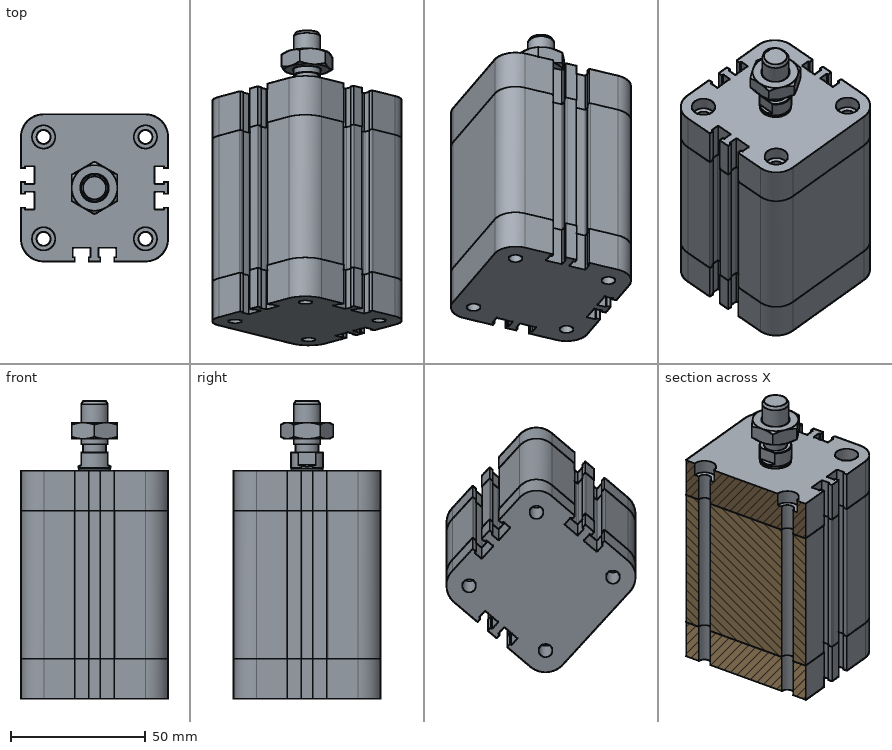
import cadquery as cq
import math

width = 55.0
corner_radius = 8.5
cap_length = 15.0
barrel_length = 55.1
total_height = 111.0
front_cap_bottom = cap_length + barrel_length
housing_height = front_cap_bottom + cap_length

screw_spacing = 38.0
screw_hole_diameter = 5.1
counterbore_diameter = 8.7
counterbore_depth = 5.0

slot_depth = 5.1
slot_lip = 1.7
slot_mouth_width = 5.1
slot_inner_width = 6.5
slot_center_offset = 4.8
barrel_slot_radius = 0.3
slotted_side_angles = (0, 90, -90)

rod_diameter = 11.8
head_diameter = 12.0
head_bottom = 0.8
head_taper_length = 0.3
head_top = 6.9
head_chamfer = 0.2
flats_width = 10.0
flats_bottom = 2.1
flats_runout_angle = math.radians(30)
neck_diameter = 8.7
thread_start = 9.8
thread_diameter = 10.0
tip_diameter = 8.5
tip_chamfer_length = 1.2

nut_width = 17.0
nut_height = 6.0
nut_bottom = housing_height + 11.9
nut_countersink = 0.3
nut_chamfer_angle = math.radians(30)


def mouth_rounding(length, radius):
    """Flared strip that rounds both edges of a slot mouth on the -Y side."""
    face_y = -width / 2
    wall_x = slot_mouth_width / 2
    arc_inset = radius * (1 - math.sqrt(0.5))
    arc_x = wall_x + arc_inset
    arc_y = face_y + arc_inset
    return (
        cq.Workplane("XY")
        .moveTo(wall_x + radius, face_y)
        .threePointArc((arc_x, arc_y), (wall_x, face_y + radius))
        .lineTo(-wall_x, face_y + radius)
        .threePointArc((-arc_x, arc_y), (-wall_x - radius, face_y))
        .close()
        .extrude(length)
    )


def slot_cutter(length, slot_radius):
    """One pair of T-slots on the -Y side, from Z = 0 up to `length`.

    A `slot_radius` above zero rounds the mouth edges and the floor corners.
    """
    face_y = -width / 2
    mouth = cq.Workplane("XY", origin=(0, face_y + slot_lip / 2, 0)).rect(slot_mouth_width, slot_lip)
    mouth = mouth.extrude(length)
    cavity_depth = slot_depth - slot_lip
    cavity = cq.Workplane("XY", origin=(0, face_y + slot_lip + cavity_depth / 2, 0))
    cavity = cavity.rect(slot_inner_width, cavity_depth).extrude(length)
    if slot_radius > 0:
        cavity = cavity.faces(">Y").edges("|Z").fillet(slot_radius)
        mouth = mouth.union(mouth_rounding(length, slot_radius))
    slot = mouth.union(cavity)
    left_slot = slot.translate((-slot_center_offset, 0, 0))
    right_slot = slot.translate((slot_center_offset, 0, 0))
    return left_slot.union(right_slot)


def make_housing_section(bottom, length, slot_radius=0.0):
    """A length of the slotted column with its four screw holes."""
    section = cq.Workplane("XY").rect(width, width).extrude(length)
    section = section.edges("|Z").fillet(corner_radius)
    cutter = slot_cutter(length, slot_radius)
    for angle in slotted_side_angles:
        section = section.cut(cutter.rotate((0, 0, 0), (0, 0, 1), angle))
    section = (
        section.faces(">Z").workplane(origin=(0, 0, 0))
        .rect(screw_spacing, screw_spacing, forConstruction=True).vertices()
        .hole(screw_hole_diameter)
    )
    return section.translate((0, 0, bottom))


def make_front_cap():
    """Front cap with counterbores and rod bore."""
    cap = make_housing_section(front_cap_bottom, cap_length)
    counterbores = (
        cq.Workplane("XY", origin=(0, 0, housing_height))
        .rect(screw_spacing, screw_spacing, forConstruction=True).vertices()
        .circle(counterbore_diameter / 2).extrude(-counterbore_depth)
    )
    rod_bore = (
        cq.Workplane("XY", origin=(0, 0, front_cap_bottom))
        .circle(rod_diameter / 2).extrude(cap_length)
    )
    return cap.cut(counterbores).cut(rod_bore)


def make_rod():
    """Stepped rod, turned about Z, with two wrench flats facing -X and +X and sloped run-outs."""
    head_bottom_z = housing_height + head_bottom
    head_top_z = housing_height + head_top
    thread_z = housing_height + thread_start
    rod = (
        cq.Workplane("XZ")
        .moveTo(0, front_cap_bottom)
        .lineTo(rod_diameter / 2, front_cap_bottom)
        .lineTo(rod_diameter / 2, head_bottom_z)
        .lineTo(head_diameter / 2, head_bottom_z + head_taper_length)
        .lineTo(head_diameter / 2, head_top_z - head_chamfer)
        .lineTo(head_diameter / 2 - head_chamfer, head_top_z)
        .lineTo(neck_diameter / 2, head_top_z)
        .lineTo(neck_diameter / 2, thread_z)
        .lineTo(thread_diameter / 2, thread_z)
        .lineTo(thread_diameter / 2, total_height - tip_chamfer_length)
        .lineTo(tip_diameter / 2, total_height)
        .lineTo(0, total_height)
        .close()
        .revolve(360, (0, 0), (0, 1))
    )
    flat_x = flats_width / 2
    cut_depth = (head_diameter - flats_width) / 2
    runout_drop = cut_depth * math.tan(flats_runout_angle)
    flat_bottom_z = housing_height + flats_bottom
    right_flat = (
        cq.Workplane("XZ")
        .moveTo(flat_x, head_top_z)
        .lineTo(flat_x, flat_bottom_z)
        .lineTo(flat_x + cut_depth, flat_bottom_z - runout_drop)
        .lineTo(flat_x + cut_depth, head_top_z)
        .close()
        .extrude(head_diameter / 2, both=True)
    )
    left_flat = right_flat.mirror("YZ")
    return rod.cut(right_flat).cut(left_flat)


def make_nut():
    """Hexagon nut with corners pointing to -Y and +Y, chamfered at both ends."""
    hexagon_half_angle = 30
    face_radius = nut_width / 2
    corner_reach = face_radius / math.cos(math.radians(hexagon_half_angle))
    chamfer_drop = (corner_reach - face_radius) * math.tan(nut_chamfer_angle)
    hexagon = (
        cq.Workplane("XY").polygon(6, 2 * corner_reach).extrude(nut_height)
        .rotate((0, 0, 0), (0, 0, 1), hexagon_half_angle)
    )
    chamfered_envelope = (
        cq.Workplane("XZ")
        .moveTo(0, 0)
        .lineTo(face_radius, 0)
        .lineTo(corner_reach, chamfer_drop)
        .lineTo(corner_reach, nut_height - chamfer_drop)
        .lineTo(face_radius, nut_height)
        .lineTo(0, nut_height)
        .close()
        .revolve(360, (0, 0), (0, 1))
    )
    nut = hexagon.intersect(chamfered_envelope)
    nut = nut.faces(">Z").workplane().hole(thread_diameter)
    bore_edges = nut.faces("<Z or >Z").edges("%CIRCLE").edges(cq.selectors.RadiusNthSelector(0))
    nut = bore_edges.chamfer(nut_countersink)
    return nut.translate((0, 0, nut_bottom))


rear_cap = make_housing_section(0, cap_length)
barrel = make_housing_section(cap_length, barrel_length, barrel_slot_radius)
front_cap = make_front_cap()
rod = make_rod()
nut = make_nut()

result = cq.Compound.makeCompound([rear_cap.val(), barrel.val(), front_cap.val(), rod.val(), nut.val()])